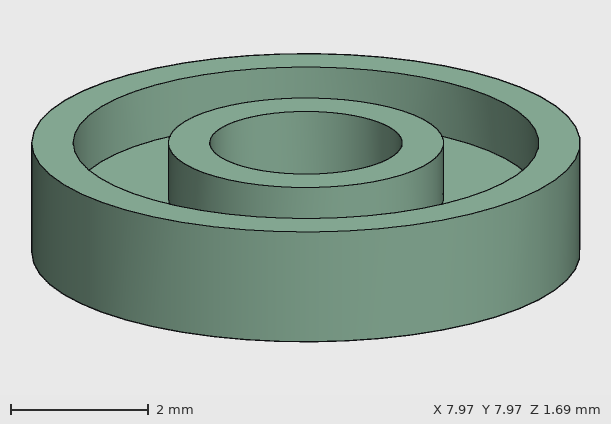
import cadquery as cq

outer_diameter = 7.97
height = 1.69
groove_outer_diameter = 6.77
hub_diameter = 4.0
bore_diameter = 2.8
groove_depth = 0.845

ring = (
    cq.Workplane("XY")
    .workplane(offset=-height / 2)
    .circle(outer_diameter / 2)
    .circle(bore_diameter / 2)
    .extrude(height)
)

groove = (
    cq.Workplane("XY")
    .workplane(offset=height / 2 - groove_depth)
    .circle(groove_outer_diameter / 2)
    .circle(hub_diameter / 2)
    .extrude(groove_depth)
)

result = ring.cut(groove)